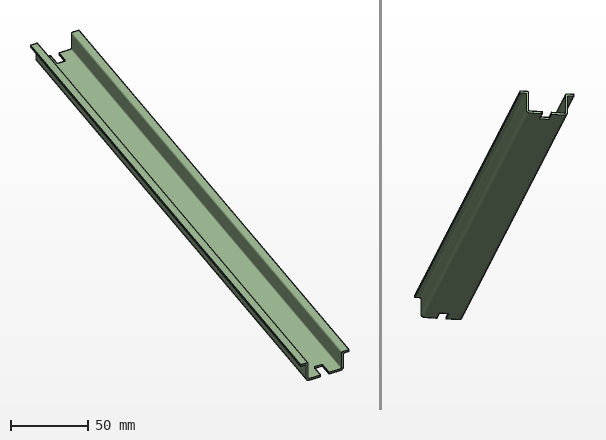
import cadquery as cq

length = 382.0
width = 35.0
height = 15.0

sheet = 1.5
channel_width = 27.0
inner_bend = 0.8
lip_round = 1.0
floor_bend = inner_bend + sheet

notch_width = 6.0
notch_depth = 9.5
notch_corner = 0.8


def rail_body():
    """Top-hat section, centred on Y with its floor at Z = 0, extruded along X."""
    half_width = width / 2
    half_outer = channel_width / 2
    half_inner = half_outer - sheet
    flange_underside = height - sheet

    outline = [
        (-half_outer, 0),
        (half_outer, 0),
        (half_outer, flange_underside),
        (half_width, flange_underside),
        (half_width, height),
        (half_inner, height),
        (half_inner, sheet),
        (-half_inner, sheet),
        (-half_inner, height),
        (-half_width, height),
        (-half_width, flange_underside),
        (-half_outer, flange_underside),
    ]
    body = cq.Workplane("YZ").polyline(outline).close().extrude(length / 2, both=True)

    rounded_edges = [
        (half_outer, 0, floor_bend),
        (half_inner, sheet, inner_bend),
        (half_inner, height, lip_round),
        (half_outer, flange_underside, inner_bend),
    ]
    for side in (-1, 1):
        for y, z, radius in rounded_edges:
            edge = cq.selectors.NearestToPointSelector((0, side * y, z))
            body = body.edges(edge).fillet(radius)
    return body


def end_notch(side):
    """Cutter for the notch at one end; it overlaps the end face by its own depth."""
    return (
        cq.Workplane("XY")
        .center(side * length / 2, 0)
        .rect(2 * notch_depth, notch_width)
        .extrude(height)
        .edges("|Z")
        .fillet(notch_corner)
    )


result = rail_body()
for end in (-1, 1):
    result = result.cut(end_notch(end))